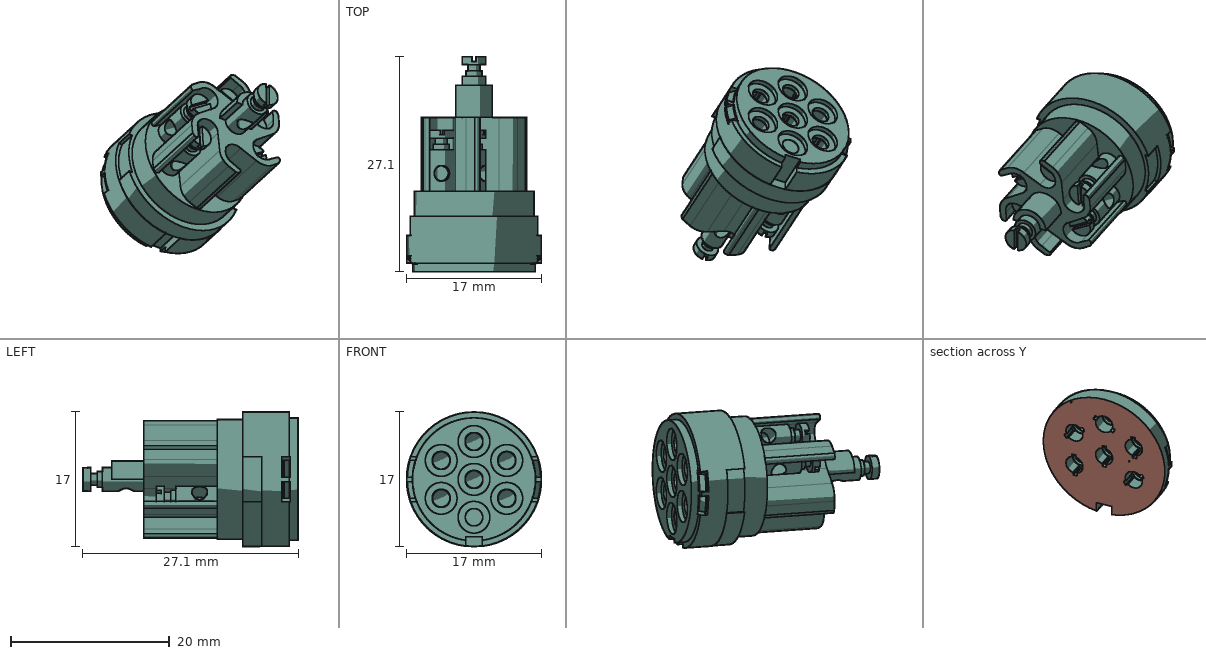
import cadquery as cq
import math

OVERCUT = 1

FLANGE_START = 1.1
SECTOR_START = 4.6
FLANGE_END = 7.0
COLLAR_END = 10.16
HOUSING_END = 19.46
CENTRE_SLEEVE_END = 23.5
CENTRE_CONTACT_END = 27.1
RING_CONTACT_END = 17.85

FACE_RADIUS = 7.75
FLANGE_RADIUS = 8.5
LOWER_RADIUS = 8.46
SIDE_RADIUS = 8.06
COLLAR_RADIUS = 7.57
SECTOR_HALF_HEIGHT = 2.82

KEYWAY_WIDTH = 2.08
KEYWAY_FLOOR = 7.2

WINDOW_START = 0.98
WINDOW_RAMP_END = 1.72
WINDOW_LAND_END = 1.88
WINDOW_END = 2.04
WINDOW_FLOOR_RADIUS = 7.65
WINDOW_LAND_RADIUS = 8.4
WINDOW_GROOVE_HEIGHT = 2.4
WINDOW_RIB_WIDTH = 0.56

RING_RADIUS = 4.77
RING_COUNT = 6
RING_PITCH = 360 / RING_COUNT
TOP_ANGLE = 90
RING_ANGLES = [TOP_ANGLE + RING_PITCH * step for step in range(RING_COUNT)]
BLANK_ANGLE = TOP_ANGLE + 180
OPENING_TURN = -64
CENTRE_OPENING_ANGLE = -90

CONTACT_RADIUS = 1.5
NECK_RADIUS = 0.76
SHOULDER_RADIUS = 1.02
HEAD_LENGTH = 1.0
NECK_LENGTH = 0.8
SHOULDER_LENGTH = 0.65
SLOT_WIDTH = 0.5
SLOT_DEPTH = 0.6
WIRE_HOLE_RADIUS = 0.97
WIRE_HOLE_FROM_TIP = 5.45

COUNTERBORE_RADIUS = 2.0
COUNTERBORE_DEPTH = 0.65
SOCKET_RADIUS = 1.1
SPRING_BORE_RADIUS = 1.15
SPRING_START = 1.25
SPRING_SLIT_WIDTH = 0.5
SPRING_SLIT_END = 5.0
SOCKET_DEPTH = 6.0
SOCKET_TIP_ANGLE = 118
BLANK_RECESS = 0.05

CENTRE_SLEEVE_RADIUS = 2.33

CRADLE_RADIUS = 2.37
SHELL_START_ANGLE = 176
SHELL_END_ANGLE = 116.6
LIP_OUTER = (0.08, 7.41)
LIP_CREST = (0.41, 7.37)
LIP_BULGE = (0.7, 7.2)
LIP_INNER = (0.725, 6.82)
CHANNEL_WALL_ANGLE = 109


def section(y):
    """Sketch plane across the connector at y, with X to the right and Z up."""
    return cq.Workplane("XZ", origin=(0, y, 0))


def disc(radius, start, end, centre=(0, 0)):
    return section(start).center(*centre).circle(radius).extrude(start - end)


def slab(x_range, y_range, z_range):
    sizes = [high - low for low, high in (x_range, y_range, z_range)]
    corner = (x_range[0], y_range[0], z_range[0])
    return cq.Workplane("XY").box(*sizes, centered=False).translate(corner)


def polar(radius, angle, centre=(0, 0)):
    turn = math.radians(angle)
    return (centre[0] + radius * math.cos(turn), centre[1] + radius * math.sin(turn))


def make_round_body():
    body = disc(FACE_RADIUS, 0, FLANGE_START)
    body = body.union(disc(FLANGE_RADIUS, FLANGE_START, FLANGE_END))
    return body.union(disc(COLLAR_RADIUS, FLANGE_END, COLLAR_END))


def make_flange_reliefs():
    """Shallow relief at both sides of the rear flange and a smaller radius below them."""
    reach = FLANGE_RADIUS + OVERCUT
    y_range = (SECTOR_START, FLANGE_END)
    side_band = slab((-reach, reach), y_range, (-SECTOR_HALF_HEIGHT, SECTOR_HALF_HEIGHT))
    lower_band = slab((-reach, reach), y_range, (-reach, -SECTOR_HALF_HEIGHT))
    side = side_band.cut(disc(SIDE_RADIUS, *y_range))
    return side.union(lower_band.cut(disc(LOWER_RADIUS, *y_range)))


def make_keyway():
    half = KEYWAY_WIDTH / 2
    return slab((-half, half), (0, SECTOR_START), (-FLANGE_RADIUS - OVERCUT, -KEYWAY_FLOOR))


def make_latch_windows():
    """Ramped windows with deeper end grooves, split by a rib at mid height."""
    outside = FLANGE_RADIUS + OVERCUT
    ramp = (
        cq.Workplane("XY")
        .moveTo(WINDOW_FLOOR_RADIUS, WINDOW_START)
        .lineTo(WINDOW_LAND_RADIUS, WINDOW_RAMP_END)
        .lineTo(WINDOW_LAND_RADIUS, WINDOW_LAND_END)
        .lineTo(FLANGE_RADIUS, WINDOW_END)
        .lineTo(outside, WINDOW_END)
        .lineTo(outside, WINDOW_START)
        .close()
        .revolve(360, (0, 0), (0, 1))
    )
    half_rib = WINDOW_RIB_WIDTH / 2
    x_range = (0, outside)
    y_range = (WINDOW_START, WINDOW_END)
    quarter = ramp.intersect(slab(x_range, y_range, (half_rib, WINDOW_GROOVE_HEIGHT)))
    quarter = quarter.union(make_end_groove(outside))
    side = quarter.union(quarter.mirror("XY"))
    return side.union(side.mirror("YZ"))


def make_end_groove(outside):
    """Deep end of a window, with a rounded inner corner towards the sector edge."""
    corner = SECTOR_HALF_HEIGHT - WINDOW_GROOVE_HEIGHT
    corner_x = math.sqrt(WINDOW_FLOOR_RADIUS**2 - SECTOR_HALF_HEIGHT**2)
    corner_centre = (corner_x, WINDOW_GROOVE_HEIGHT)
    return (
        section(WINDOW_START)
        .moveTo(corner_x - corner, WINDOW_GROOVE_HEIGHT)
        .threePointArc(
            polar(corner, 135, corner_centre),
            (corner_x, SECTOR_HALF_HEIGHT),
        )
        .lineTo(outside, SECTOR_HALF_HEIGHT)
        .lineTo(outside, WINDOW_GROOVE_HEIGHT)
        .close()
        .extrude(WINDOW_START - WINDOW_END)
    )


def make_cradle(angle):
    """One arm of the rear housing: it wraps the contact at this angle and ends in a lip."""
    contact = (0, RING_RADIUS)
    next_contact = polar(RING_RADIUS, TOP_ANGLE + RING_PITCH)
    shell_start = polar(CRADLE_RADIUS, SHELL_START_ANGLE, contact)
    shell_middle = polar(CRADLE_RADIUS, (SHELL_START_ANGLE + SHELL_END_ANGLE) / 2, contact)
    shell_end = polar(CRADLE_RADIUS, SHELL_END_ANGLE, contact)
    cradle = (
        section(COLLAR_END)
        .moveTo(0, 0)
        .lineTo(*next_contact)
        .lineTo(next_contact[0] + CONTACT_RADIUS, next_contact[1])
        .lineTo(*shell_start)
        .threePointArc(shell_middle, shell_end)
        .lineTo(*LIP_OUTER)
        .lineTo(*LIP_CREST)
        .threePointArc(LIP_BULGE, LIP_INNER)
        .lineTo(*polar(CONTACT_RADIUS, CHANNEL_WALL_ANGLE, contact))
        .lineTo(*contact)
        .close()
        .extrude(COLLAR_END - HOUSING_END)
    )
    return cradle.rotate((0, 0, 0), (0, 1, 0), TOP_ANGLE - angle)


def make_rear_housing():
    housing = make_cradle(RING_ANGLES[0])
    for angle in RING_ANGLES[1:]:
        housing = housing.union(make_cradle(angle))
    for angle in RING_ANGLES:
        channel = disc(CONTACT_RADIUS, COLLAR_END, HOUSING_END, polar(RING_RADIUS, angle))
        housing = housing.cut(channel)
    return housing


def make_centre_sleeve():
    """Half sleeve over the upper side of the centre contact."""
    sleeve = disc(CENTRE_SLEEVE_RADIUS, HOUSING_END, CENTRE_SLEEVE_END)
    reach = CENTRE_SLEEVE_RADIUS + OVERCUT
    upper_half = slab((-reach, reach), (HOUSING_END, CENTRE_SLEEVE_END), (0, reach))
    return sleeve.intersect(upper_half)


def make_contact(centre, start, tip, opening_angle):
    """Screw contact: plain barrel with a wire hole, then shoulder, neck and slotted head."""
    head_start = tip - HEAD_LENGTH
    neck_start = head_start - NECK_LENGTH
    barrel_end = neck_start - SHOULDER_LENGTH
    contact = disc(CONTACT_RADIUS, start, barrel_end)
    contact = contact.union(disc(SHOULDER_RADIUS, barrel_end, neck_start))
    contact = contact.union(disc(NECK_RADIUS, neck_start, head_start))
    contact = contact.union(disc(CONTACT_RADIUS, head_start, tip))

    reach = CONTACT_RADIUS + OVERCUT
    half_slot = SLOT_WIDTH / 2
    slot = slab((-reach, reach), (tip - SLOT_DEPTH, tip), (-half_slot, half_slot))
    wire_hole = (
        cq.Workplane("YZ", origin=(-reach, tip - WIRE_HOLE_FROM_TIP, 0))
        .circle(WIRE_HOLE_RADIUS)
        .extrude(2 * reach)
    )
    contact = contact.cut(slot).cut(wire_hole)
    contact = contact.rotate((0, 0, 0), (0, 1, 0), -opening_angle)
    return contact.translate((centre[0], 0, centre[1]))


def make_socket(centre, opening_angle):
    """Blind contact hole: entry, slit spring bore and conical bottom."""
    cone_length = SPRING_BORE_RADIUS / math.tan(math.radians(SOCKET_TIP_ANGLE / 2))
    socket = (
        cq.Workplane("XY")
        .lineTo(SOCKET_RADIUS, 0)
        .lineTo(SOCKET_RADIUS, SPRING_START)
        .lineTo(SPRING_BORE_RADIUS, SPRING_START)
        .lineTo(SPRING_BORE_RADIUS, SOCKET_DEPTH)
        .lineTo(0, SOCKET_DEPTH + cone_length)
        .close()
        .revolve(360, (0, 0), (0, 1))
    )
    half_slit = SPRING_SLIT_WIDTH / 2
    slit = slab(
        (-CONTACT_RADIUS, CONTACT_RADIUS),
        (SPRING_START, SPRING_SLIT_END),
        (-half_slit, half_slit),
    )
    socket = socket.union(slit).rotate((0, 0, 0), (0, 1, 0), -opening_angle)
    return socket.translate((centre[0], 0, centre[1]))


def make_blank():
    """Shallow round recess that marks the unused position."""
    return disc(SOCKET_RADIUS, 0, COUNTERBORE_DEPTH + BLANK_RECESS, polar(RING_RADIUS, BLANK_ANGLE))


result = make_round_body()
result = result.cut(make_flange_reliefs()).cut(make_keyway()).cut(make_latch_windows())
result = result.union(make_rear_housing()).union(make_centre_sleeve())

centre_contact = make_contact((0, 0), HOUSING_END, CENTRE_CONTACT_END, CENTRE_OPENING_ANGLE)
result = result.union(centre_contact).cut(make_socket((0, 0), CENTRE_OPENING_ANGLE))
result = result.cut(disc(COUNTERBORE_RADIUS, 0, COUNTERBORE_DEPTH))

for angle in RING_ANGLES:
    position = polar(RING_RADIUS, angle)
    result = result.cut(disc(COUNTERBORE_RADIUS, 0, COUNTERBORE_DEPTH, position))
    if angle == BLANK_ANGLE:
        result = result.cut(make_blank())
    else:
        opening_angle = angle + OPENING_TURN
        contact = make_contact(position, COLLAR_END, RING_CONTACT_END, opening_angle)
        result = result.union(contact).cut(make_socket(position, opening_angle))